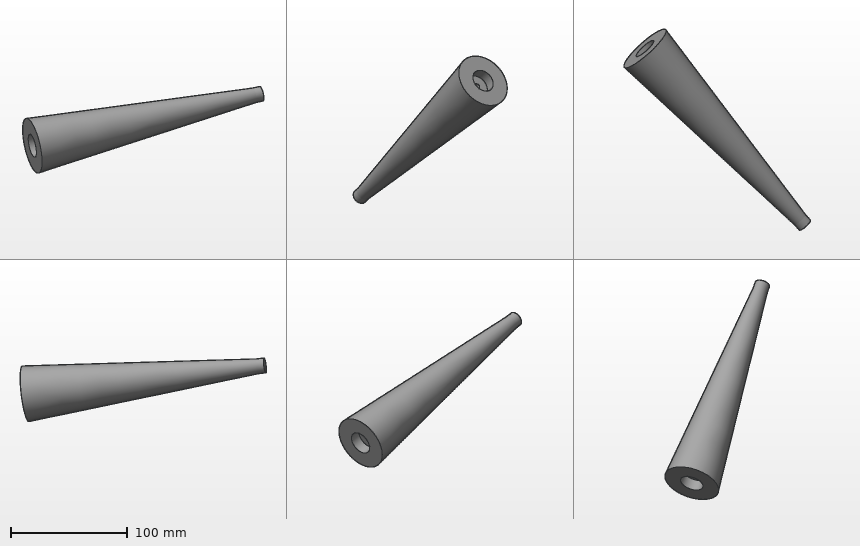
import cadquery as cq
import math

length = 209.5
base_diameter = 48.2
tip_diameter = 13.0
tip_length = 6.5

socket_diameter = 20.1
socket_depth = 10.0
hole_diameter = 5.0
hole_depth = 31.5
drill_point_angle = 118.0

base_y = -length / 2
tip_y = length / 2


def make_body():
    """Cone with a short straight collar, revolved about Y."""
    profile = (
        cq.Workplane("XY")
        .moveTo(0, base_y)
        .lineTo(base_diameter / 2, base_y)
        .lineTo(tip_diameter / 2, tip_y - tip_length)
        .lineTo(tip_diameter / 2, tip_y)
        .lineTo(0, tip_y)
        .close()
    )
    return profile.revolve(360, (0, 0, 0), (0, 1, 0))


def make_bore(diameter, depth):
    """Round cutter running from the wide end toward +Y."""
    start = cq.Vector(0, base_y, 0)
    return cq.Solid.makeCylinder(diameter / 2, depth, start, cq.Vector(0, 1, 0))


def make_drill_point():
    """Conical bottom that ends the small blind hole."""
    radius = hole_diameter / 2
    height = radius / math.tan(math.radians(drill_point_angle / 2))
    start = cq.Vector(0, base_y + hole_depth, 0)
    return cq.Solid.makeCone(radius, 0, height, start, cq.Vector(0, 1, 0))


socket = make_bore(socket_diameter, socket_depth)
blind_hole = make_bore(hole_diameter, hole_depth).fuse(make_drill_point())

result = make_body().cut(socket).cut(blind_hole)